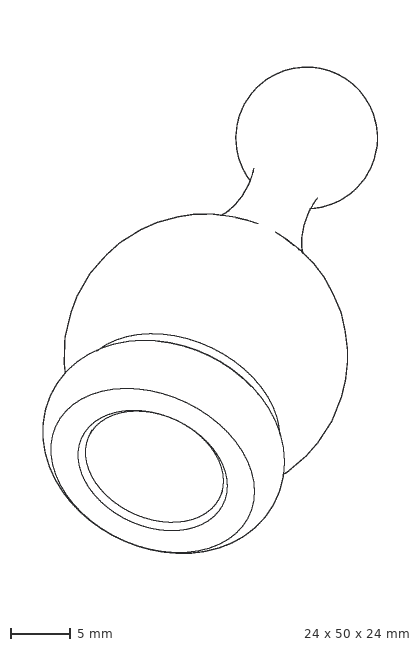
import cadquery as cq
import math

total_length = 50.0

ball_radius = 6.0
ball_center = total_length - ball_radius

neck_radius = 2.8
neck_fillet = 1.0
neck_flare_radius = 16.0

collar_radius = 9.0
collar_height = 1.0
rim_radius = 10.5
rim_round = 4.0

body_radius = 12.0

bore_radius = 6.1
bore_depth = 15.0
bore_chamfer = 0.5
drill_point_angle = 118.0


def leg(hypotenuse, other_leg):
    """Remaining side of a right triangle."""
    return math.sqrt(hypotenuse**2 - other_leg**2)


def point_between(start, end, distance):
    """Point on the line from start to end, at a distance from start."""
    share = distance / math.dist(start, end)
    return (start[0] + share * (end[0] - start[0]), start[1] + share * (end[1] - start[1]))


def circles_meet(center_a, radius_a, center_b, radius_b):
    """Crossing of two circles that lies to the left of the line from center_a to center_b."""
    distance = math.dist(center_a, center_b)
    along = (distance**2 + radius_a**2 - radius_b**2) / (2 * distance)
    across = leg(radius_a, along)
    foot = point_between(center_a, center_b, along)
    direction_x = (center_b[0] - center_a[0]) / distance
    direction_y = (center_b[1] - center_a[1]) / distance
    return (foot[0] - across * direction_y, foot[1] + across * direction_x)


def arc_middle(center, radius, start, end):
    """Middle point of the short arc from start to end."""
    chord_middle = ((start[0] + end[0]) / 2, (start[1] + end[1]) / 2)
    return point_between(center, chord_middle, radius)


def make_finial():
    rim_half_height = leg(rim_round, collar_radius - (rim_radius - rim_round))
    rim_top = 2 * rim_half_height
    collar_top = rim_top + collar_height
    body_center = (0, collar_top + leg(body_radius, collar_radius))

    flare_x = neck_radius + neck_flare_radius
    flare_center = (flare_x, body_center[1] + leg(body_radius + neck_flare_radius, flare_x))
    flare_start = point_between(body_center, flare_center, body_radius)
    waist = (neck_radius, flare_center[1])

    tip_center = (0, ball_center)
    fillet_center = circles_meet(
        flare_center, neck_flare_radius - neck_fillet, tip_center, ball_radius + neck_fillet
    )
    fillet_start = point_between(flare_center, fillet_center, neck_flare_radius)
    fillet_end = point_between(tip_center, fillet_center, ball_radius)

    profile = (
        cq.Workplane("XY")
        .lineTo(collar_radius, 0)
        .threePointArc((rim_radius, rim_half_height), (collar_radius, rim_top))
        .lineTo(collar_radius, collar_top)
        .threePointArc((body_radius, body_center[1]), flare_start)
        .threePointArc(arc_middle(flare_center, neck_flare_radius, flare_start, waist), waist)
        .threePointArc(arc_middle(flare_center, neck_flare_radius, waist, fillet_start), fillet_start)
        .threePointArc(arc_middle(fillet_center, neck_fillet, fillet_start, fillet_end), fillet_end)
        .threePointArc((ball_radius, ball_center), (0, total_length))
        .close()
    )
    return profile.revolve(360, (0, 0), (0, 1), clean=False)


def make_bore():
    point_height = bore_radius / math.tan(math.radians(drill_point_angle / 2))
    profile = (
        cq.Workplane("XY")
        .lineTo(bore_radius + bore_chamfer, 0)
        .lineTo(bore_radius, bore_chamfer)
        .lineTo(bore_radius, bore_depth)
        .lineTo(0, bore_depth + point_height)
        .close()
    )
    return profile.revolve(360, (0, 0), (0, 1))


result = make_finial().cut(make_bore(), clean=False)